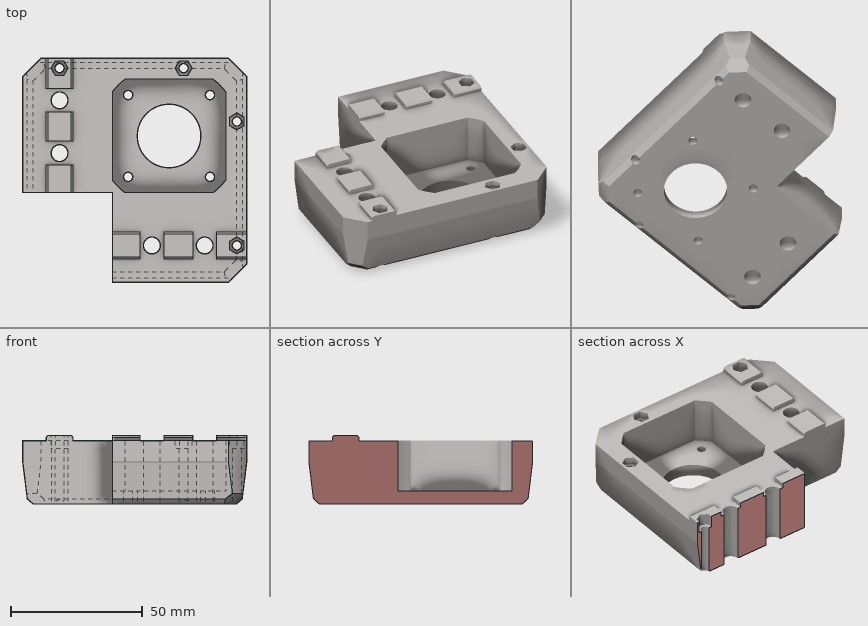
import cadquery as cq
import math

SIDE = 85.0
BODY_HEIGHT = 24.0
NOTCH = 34.0
CORNER_CHAMFER = 7.0

TAPER_START_HEIGHT = 16.0
TAPER_FOOT_INSET = 2.0
FOOT_CHAMFER_HEIGHT = 2.0
FOOT_INSET = 4.0
CORNER_FOOT_CHAMFER = 4.0

MOTOR_SIDE = 43.0
MOTOR_CORNER_DIAMETER = 54.5
MOTOR_CENTER = NOTCH + MOTOR_SIDE / 2
MOTOR_FLOOR = 5.0
MOTOR_BORE = 24.0
MOTOR_BOLT_SPACING = 31.0

RAIL_OFFSET = 14.0
PAD_WIDTH = 10.2
PAD_HEIGHT = 2.0
PAD_CHAMFER = 0.7
RAIL_BOLT_POSITIONS = (49.0, 69.0)
RAIL_BOLT_HOLE = 6.3
PAD_GAP = 9.0

SMALL_BOLT_HOLE = 3.4
NUT_ACROSS_CORNERS = 6.4
NUT_FLOOR = 21.0
NUT_EDGE_DISTANCE = 3.8
NUT_SPACING = 47.0
NUT_ROW = SIDE - NUT_EDGE_DISTANCE
NUT_POSITIONS = (RAIL_OFFSET, RAIL_OFFSET + NUT_SPACING)

TOP = BODY_HEIGHT + PAD_HEIGHT


def swap_x_and_y(shape):
    """Reflect a shape in the vertical plane X = Y."""
    return shape.mirror("XZ").rotate((0, 0, 0), (0, 0, 1), 90)


def tapered_bar():
    """Bar along Y whose section has two tapered sides and a chamfered foot."""
    taper_slope = TAPER_FOOT_INSET / TAPER_START_HEIGHT
    knee_inset = taper_slope * (TAPER_START_HEIGHT - FOOT_CHAMFER_HEIGHT)
    points = [
        (FOOT_INSET, 0),
        (SIDE - FOOT_INSET, 0),
        (SIDE - knee_inset, FOOT_CHAMFER_HEIGHT),
        (SIDE, TAPER_START_HEIGHT),
        (SIDE, BODY_HEIGHT),
        (0, BODY_HEIGHT),
        (0, TAPER_START_HEIGHT),
        (knee_inset, FOOT_CHAMFER_HEIGHT),
    ]
    return cq.Workplane("XZ").polyline(points).close().extrude(-SIDE)


def corner_trimmer():
    """Square block turned 45 degrees whose sides cut the corners, with a chamfered foot."""
    width = math.sqrt(2) * (SIDE - CORNER_CHAMFER)
    block = cq.Workplane("XY").box(width, width, BODY_HEIGHT, centered=(True, True, False))
    block = block.faces("<Z").edges().chamfer(CORNER_FOOT_CHAMFER)
    return block.rotate((0, 0, 0), (0, 0, 1), 45).translate((SIDE / 2, SIDE / 2, 0))


def body():
    """L-shaped body; the two faces of the notch stay vertical."""
    notch = cq.Workplane("XY").box(NOTCH, NOTCH, BODY_HEIGHT, centered=False)
    block = tapered_bar().intersect(swap_x_and_y(tapered_bar()))
    return block.intersect(corner_trimmer()).cut(notch)


def pad_row():
    """Three pads in a row along X, beside the low-Y edge, chamfered on their long sides."""
    length = SIDE - NOTCH
    row = cq.Workplane("XY").box(length, PAD_WIDTH, PAD_HEIGHT, centered=(False, True, False))
    row = row.faces(">Z").edges("|X").chamfer(PAD_CHAMFER)
    row = row.translate((NOTCH, RAIL_OFFSET, BODY_HEIGHT))
    for x in RAIL_BOLT_POSITIONS:
        gap = cq.Workplane("XY").box(PAD_GAP, PAD_WIDTH, TOP, centered=(True, True, False))
        row = row.cut(gap.translate((x, RAIL_OFFSET, 0)))
    return row


def motor_pocket():
    """Square pocket with arc corners, a central bore and four bolt holes."""
    floor = cq.Workplane("XY", origin=(MOTOR_CENTER, MOTOR_CENTER, MOTOR_FLOOR))
    depth = BODY_HEIGHT - MOTOR_FLOOR
    pocket = floor.rect(MOTOR_SIDE, MOTOR_SIDE).extrude(depth)
    pocket = pocket.intersect(floor.circle(MOTOR_CORNER_DIAMETER / 2).extrude(depth))
    base = cq.Workplane("XY", origin=(MOTOR_CENTER, MOTOR_CENTER, 0))
    bore = base.circle(MOTOR_BORE / 2).extrude(MOTOR_FLOOR)
    bolts = base.rect(MOTOR_BOLT_SPACING, MOTOR_BOLT_SPACING, forConstruction=True).vertices()
    return pocket.union(bore).union(bolts.circle(SMALL_BOLT_HOLE / 2).extrude(MOTOR_FLOOR))


def hole(x, y, diameter):
    """Vertical cylinder through the full height."""
    return cq.Workplane("XY").center(x, y).circle(diameter / 2).extrude(TOP)


def nut_hole(x, y, turn):
    """Through hole with a hexagonal nut pocket open at the top, turned by an angle in degrees."""
    nut = cq.Workplane("XY").polygon(6, NUT_ACROSS_CORNERS).extrude(TOP - NUT_FLOOR)
    nut = nut.rotate((0, 0, 0), (0, 0, 1), turn).translate((x, y, NUT_FLOOR))
    return hole(x, y, SMALL_BOLT_HOLE).union(nut)


result = body().union(pad_row()).union(swap_x_and_y(pad_row()))
result = result.cut(motor_pocket())

for position in RAIL_BOLT_POSITIONS:
    result = result.cut(hole(position, RAIL_OFFSET, RAIL_BOLT_HOLE))
    result = result.cut(hole(RAIL_OFFSET, position, RAIL_BOLT_HOLE))

for position in NUT_POSITIONS:
    result = result.cut(nut_hole(position, NUT_ROW, 0))
    result = result.cut(nut_hole(NUT_ROW, position, 90))